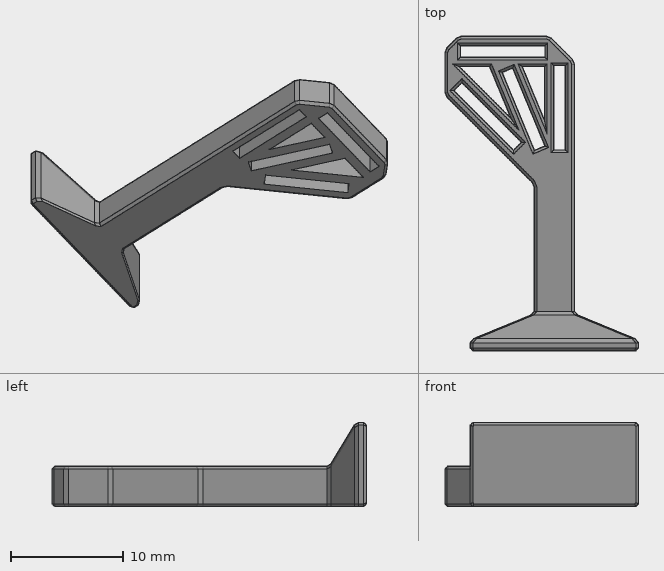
import cadquery as cq
import math

plate_width = 15.0
plate_height = 7.5
plate_thickness = 0.95

flare_length = 2.35
flare_bevel_run = 0.13
arm_bevel_run = 0.2

arm_width = 3.6
arm_height = 3.6

total_length = 28.0
head_left = -9.74
head_left_corner_y = 22.75
head_left_bevel = 1.2
head_right_bevel = 2.25

edge_chamfer = 0.25

slot_length = 7.5
slot_width = 1.0
top_slot = (-4.6, 26.64, 90.0)
right_slot = (0.465, 21.63, 0.0)
middle_slot = (-2.74, 21.5, 22.5)
diagonal_slot = (-5.93, 20.86, 45.0)

rib = 0.85

plate_side = plate_width / 2
arm_side = arm_width / 2
flare_end = plate_thickness + flare_length
arm_start = flare_end + arm_bevel_run


def flare_section(y, half_width, height):
    """Corners of the cross-section at one Y: a rectangle on Z = 0 with chamfered corners."""
    inner = half_width - edge_chamfer
    upper = height - edge_chamfer
    corners = [
        (-inner, 0),
        (inner, 0),
        (half_width, edge_chamfer),
        (half_width, upper),
        (inner, height),
        (-inner, height),
        (-half_width, upper),
        (-half_width, edge_chamfer),
    ]
    return cq.Wire.makePolygon([cq.Vector(x, y, z) for x, z in corners], close=True)


def make_plate_and_flare():
    """Plate tapering to the arm, with a bevel where the taper starts and where it ends."""
    bevel_share = flare_bevel_run / flare_length
    width_step = (plate_side - arm_side) * bevel_share
    height_step = (plate_height - arm_height) * bevel_share
    shoulder_y = plate_thickness - edge_chamfer
    taper_start = plate_thickness + flare_bevel_run
    taper_end = flare_end - flare_bevel_run
    sections = [
        flare_section(0, plate_side, plate_height),
        flare_section(shoulder_y, plate_side, plate_height),
        flare_section(taper_start, plate_side - width_step, plate_height - height_step),
        flare_section(taper_end, arm_side + width_step, arm_height + height_step),
        flare_section(arm_start, arm_side, arm_height),
    ]
    block = cq.Workplane(cq.Solid.makeLoft(sections, True))
    return block.faces("<Y").edges().chamfer(edge_chamfer)


def make_arm_and_head():
    """Straight arm with the head reaching out to -X, chamfered all over but where it joins the flare."""
    elbow_y = head_left_corner_y - (-arm_side - head_left)
    outline = [
        (-arm_side, arm_start),
        (arm_side, arm_start),
        (arm_side, total_length - head_right_bevel),
        (arm_side - head_right_bevel, total_length),
        (head_left + head_left_bevel, total_length),
        (head_left, total_length - head_left_bevel),
        (head_left, head_left_corner_y),
        (-arm_side, elbow_y),
    ]
    prism = cq.Workplane("XY").polyline(outline).close().extrude(arm_height)
    return prism.edges("not(<Y)").chamfer(edge_chamfer)


def make_slot(slot):
    centre_x, centre_y, lean = slot
    return (
        cq.Workplane("XY")
        .rect(slot_width, slot_length)
        .extrude(arm_height)
        .rotate((0, 0, 0), (0, 0, 1), lean)
        .translate((centre_x, centre_y, 0))
    )


def rib_line(slot, side):
    """Slope and X at Y = 0 of the line one rib away from a slot; side is +1 for +X, -1 for -X."""
    centre_x, centre_y, lean = slot
    angle = math.radians(lean)
    slope = -math.tan(angle)
    offset = side * (slot_width / 2 + rib) / math.cos(angle)
    return slope, centre_x + offset - slope * centre_y


def make_window(left_neighbour, right_neighbour):
    """Triangular window below the top slot, between two neighbouring slots."""
    left_slope, left_x0 = rib_line(left_neighbour, 1)
    right_slope, right_x0 = rib_line(right_neighbour, -1)
    top_y = top_slot[1] - slot_width / 2 - rib
    apex_y = (right_x0 - left_x0) / (left_slope - right_slope)
    corners = [
        (left_x0 + left_slope * top_y, top_y),
        (right_x0 + right_slope * top_y, top_y),
        (left_x0 + left_slope * apex_y, apex_y),
    ]
    return cq.Workplane("XY").polyline(corners).close().extrude(arm_height)


def chamfer_opening_rims(body):
    """Chamfer the upper rim of every opening in the head."""
    head_face = body.faces("+Z").faces("<Z").val()
    rim_edges = [edge for wire in head_face.innerWires() for edge in wire.Edges()]
    return body.newObject(rim_edges).chamfer(edge_chamfer)


part = make_plate_and_flare().union(make_arm_and_head())
for slot in (top_slot, right_slot, middle_slot, diagonal_slot):
    part = part.cut(make_slot(slot))
part = part.cut(make_window(diagonal_slot, middle_slot))
part = part.cut(make_window(middle_slot, right_slot))

result = chamfer_opening_rims(part)